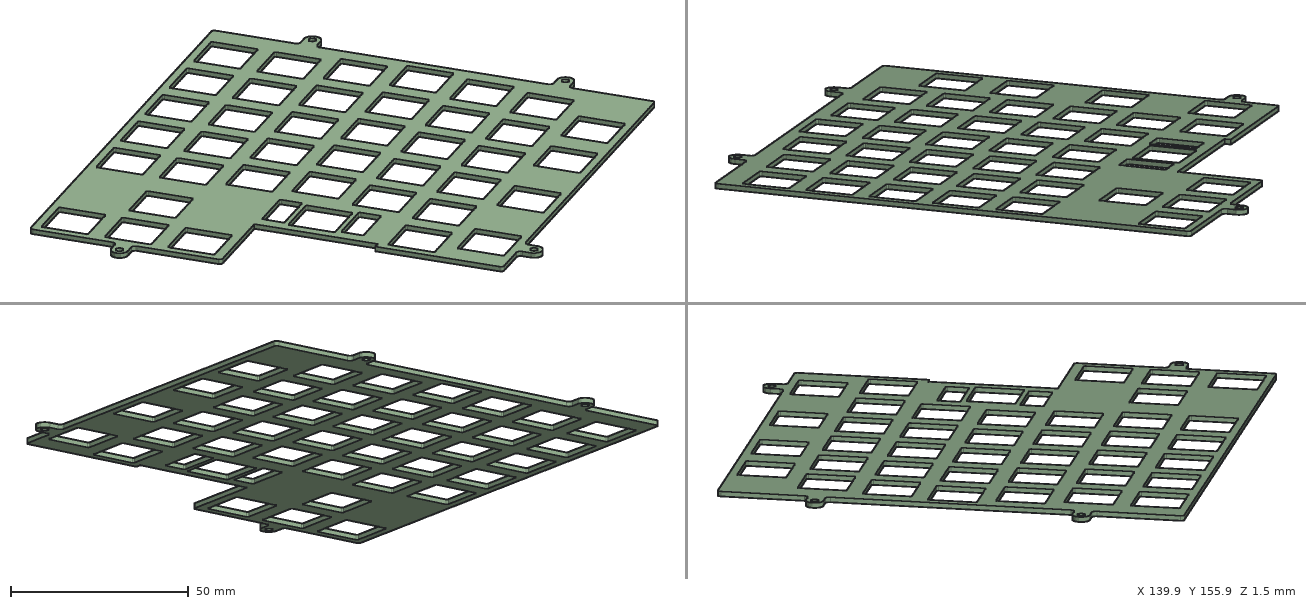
import cadquery as cq


plate_width = 133.5
plate_height = 143.1
plate_thickness = 1.5
corner_radius = 1.0
columns_across = 7
pitch = plate_width / columns_across

notch_left = 57.8
notch_top = 25.7
step_left = 95.0
step_bottom = 1.25 * pitch

opening_size = 14.0
opening_corner_radius = 0.5
first_column = 0.5
main_row_count = 5
main_bottom_row = 2.75
column_stagger = [0, 0, 1 / 8, 1 / 4, 1 / 8, 0]
extra_keys = [(0, 0.5), (1, 0.5), (2, 0.5), (1, 1.5), (5, 1.75)]
right_column = 6
right_column_rows = [2, 3.625, 5.125, 6.25]

thumb_key_x = 3.875 * pitch
thumb_key_y = 1.875 * pitch
stabilizer_width = 6.7
stabilizer_spacing = 23.8
stabilizer_rise = 1.0

tab_width = 5.0
tab_length = 6.4
tab_hole_diameter = 2.2
tab_root_radius = 1.2
tab_overlap = 1.0


def column_x(column):
    """Centre of a key column."""
    return (column + first_column) * pitch


def make_body():
    """Plate body with rounded outer corners; the notch's inner corner and step stay sharp."""
    outline = [
        (0, 0),
        (notch_left, 0),
        (notch_left, notch_top),
        (step_left, notch_top),
        (step_left, step_bottom),
        (plate_width, step_bottom),
        (plate_width, plate_height),
        (0, plate_height),
    ]
    body = cq.Workplane("XY").polyline(outline).close().extrude(plate_thickness)
    outer_corners = [
        (0, 0),
        (notch_left, 0),
        (plate_width, step_bottom),
        (plate_width, plate_height),
        (0, plate_height),
    ]
    for x, y in outer_corners:
        corner = cq.selectors.NearestToPointSelector((x, y, plate_thickness / 2))
        body = body.edges("|Z").edges(corner).fillet(corner_radius)
    return body


def make_tab():
    """Round-ended tab pointing along +Y from the origin, flared at its root."""
    half_width = tab_width / 2
    flare_x = half_width + tab_root_radius
    arc_offset = tab_root_radius * (1 - 0.5 ** 0.5)
    flare_mid_x = half_width + arc_offset
    hole_y = tab_length - half_width
    return (
        cq.Workplane("XY")
        .moveTo(-flare_x, 0)
        .threePointArc((-flare_mid_x, arc_offset), (-half_width, tab_root_radius))
        .lineTo(-half_width, hole_y)
        .threePointArc((0, tab_length), (half_width, hole_y))
        .lineTo(half_width, tab_root_radius)
        .threePointArc((flare_mid_x, arc_offset), (flare_x, 0))
        .lineTo(flare_x, -tab_overlap)
        .lineTo(-flare_x, -tab_overlap)
        .close()
        .moveTo(0, hole_y)
        .circle(tab_hole_diameter / 2)
        .extrude(plate_thickness)
    )


def switch_centres():
    """Centres of all square switch openings."""
    centres = [(thumb_key_x, thumb_key_y)]
    for column, stagger in enumerate(column_stagger):
        for row in range(main_row_count):
            centres.append((column_x(column), (main_bottom_row + row + stagger) * pitch))
    for column, row in extra_keys:
        centres.append((column_x(column), row * pitch))
    for row in right_column_rows:
        centres.append((column_x(right_column), row * pitch))
    return centres


def make_openings(centres, width, height):
    """Rectangular cutters with rounded corners, through the plate at the given centres."""
    cutters = cq.Workplane("XY").pushPoints(centres).rect(width, height).extrude(plate_thickness)
    return cutters.edges("|Z").fillet(opening_corner_radius)


stabilizer_y = thumb_key_y + stabilizer_rise
stabilizer_centres = [(thumb_key_x + side * stabilizer_spacing / 2, stabilizer_y) for side in (-1, 1)]

tab_places = [
    (column_x(1), plate_height, 0),
    (column_x(5), plate_height, 0),
    (column_x(1), 0, 180),
    (plate_width, right_column_rows[0] * pitch, -90),
]

result = make_body()
for x, y, angle in tab_places:
    result = result.union(make_tab().rotate((0, 0, 0), (0, 0, 1), angle).translate((x, y, 0)))
result = result.cut(make_openings(switch_centres(), opening_size, opening_size))
result = result.cut(make_openings(stabilizer_centres, stabilizer_width, opening_size))